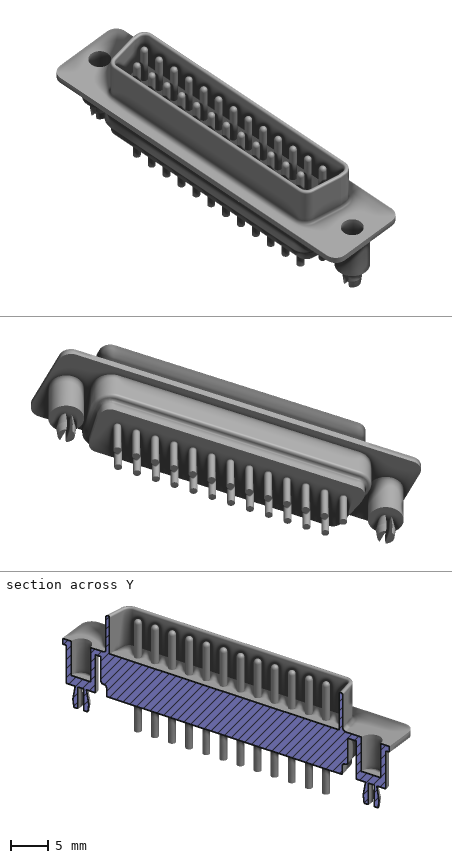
import cadquery as cq
import math


flange_length = 53.05
flange_width = 12.55
flange_thickness = 0.95
flange_corner_radius = 1.7

shell_center_x = 0.25
shell_half_length = 19.5
shell_half_width = 4.2
overall_height = 17.3
shell_height = 5.85
shell_wall = 0.65
shell_corner_radius = 1.6
shell_rim_round = 0.29
shell_foot_fillet = 0.5
side_slope_start = 1.7
side_slope_angle = 10.0
cavity_floor = 0.0

housing_growth = 0.85
housing_corner_radius = 2.65
housing_step = -5.1
housing_round = 0.5
lip_shrink = 0.1
lip_fillet = 0.4
body_bottom = -6.85

pin_diameter = 1.05
upper_row_count = 13
upper_row_length = 33.25
pin_pitch = upper_row_length / (upper_row_count - 1)
row_spacing = 2.85
pin_top = 5.8
pin_bottom = shell_height - overall_height

post_spacing = 47.05
post_diameter = 4.85
mount_hole_diameter = 3.1
mount_hole_depth = 5.3
clip_neck_radius = 0.95
clip_barb_radius = 1.3
clip_tip_radius = 1.15
clip_barb_z = -8.9
clip_bottom = -10.2
clip_slot_width = 0.85

pick_margin = 0.05


def d_prism(growth, corner_radius, z_bottom, z_top):
    """Extrude the D outline, grown outward by growth, with rounded front and back corners."""
    half_length = shell_half_length + growth
    half_width = shell_half_width + growth
    slope = math.tan(math.radians(side_slope_angle))
    bottom_half_length = half_length - (side_slope_start + half_width) * slope
    corners = [
        (half_length, half_width),
        (half_length, side_slope_start),
        (bottom_half_length, -half_width),
        (-bottom_half_length, -half_width),
        (-half_length, side_slope_start),
        (-half_length, half_width),
    ]
    base = cq.Workplane("XY").workplane(offset=z_bottom).polyline(corners).close()
    prism = base.extrude(z_top - z_bottom)
    rounded_edges = "(|Z and >Y) or (|Z and <Y)"
    prism = prism.edges(rounded_edges).fillet(corner_radius)
    return prism.translate((shell_center_x, 0, 0))


def cylinder(diameter, x, y, z_bottom, z_top):
    base = cq.Workplane("XY").workplane(offset=z_bottom).center(x, y)
    return base.circle(diameter / 2).extrude(z_top - z_bottom)


def make_flange():
    flange = cq.Workplane("XY").rect(flange_length, flange_width).extrude(-flange_thickness)
    return flange.edges("|Z").fillet(flange_corner_radius)


def join_with_fillet(plate, prism, joint_z, radius):
    """Unite two stacked solids and fillet the inside corner around the D outline at joint_z."""
    joined = plate.union(prism)
    reach_x = shell_half_length + pick_margin
    reach_y = shell_half_width + pick_margin
    box = cq.selectors.BoxSelector(
        (shell_center_x - reach_x, -reach_y, joint_z - pick_margin),
        (shell_center_x + reach_x, reach_y, joint_z + pick_margin),
        boundingbox=True,
    )
    return joined.edges(box).fillet(radius)


def make_body():
    shell = d_prism(0, shell_corner_radius, -flange_thickness, shell_height)
    shell = shell.faces(">Z").edges().fillet(shell_rim_round)
    upper = join_with_fillet(make_flange(), shell, 0, shell_foot_fillet)
    housing = d_prism(housing_growth, housing_corner_radius, housing_step, -flange_thickness)
    housing = housing.faces("<Z").edges().fillet(housing_round)
    lip = d_prism(-lip_shrink, shell_corner_radius - lip_shrink, body_bottom, -flange_thickness)
    lower = join_with_fillet(housing, lip, housing_step, lip_fillet)
    cavity = d_prism(-shell_wall, shell_corner_radius - shell_wall, cavity_floor, shell_height)
    hollow = upper.union(lower).cut(cavity)
    inner_rim = hollow.faces(">Z").wires(cq.selectors.LengthNthSelector(0)).edges()
    return hollow.newObject(inner_rim.vals()).fillet(shell_rim_round)


def make_pin(x, y):
    """Straight contact with a hemispherical upper tip."""
    tip_radius = pin_diameter / 2
    tip_center_z = pin_top - tip_radius
    pin = cylinder(pin_diameter, x, y, pin_bottom, tip_center_z)
    tip = cq.Workplane("XY").sphere(tip_radius).translate((x, y, tip_center_z))
    return pin.union(tip)


def make_clip(x):
    """Split barbed peg that snaps into the circuit board."""
    profile = [
        (0, body_bottom),
        (clip_neck_radius, body_bottom),
        (clip_barb_radius, clip_barb_z),
        (clip_tip_radius, clip_bottom),
        (0, clip_bottom),
    ]
    peg = cq.Workplane("XZ").polyline(profile).close().revolve(360, (0, 0, 0), (0, 1, 0))
    slot_base = cq.Workplane("XY").workplane(offset=clip_bottom).rect(clip_slot_width, post_diameter)
    slot = slot_base.extrude(body_bottom - clip_bottom)
    return peg.cut(slot).translate((x, 0, 0))


result = make_body()

for row_y, pin_count in ((row_spacing / 2, upper_row_count), (-row_spacing / 2, upper_row_count - 1)):
    for index in range(pin_count):
        pin_x = (index - (pin_count - 1) / 2) * pin_pitch
        result = result.union(make_pin(pin_x, row_y))

for post_x in (-post_spacing / 2, post_spacing / 2):
    result = result.union(cylinder(post_diameter, post_x, 0, body_bottom, -flange_thickness))
    result = result.union(make_clip(post_x))
    result = result.cut(cylinder(mount_hole_diameter, post_x, 0, -mount_hole_depth, 0))